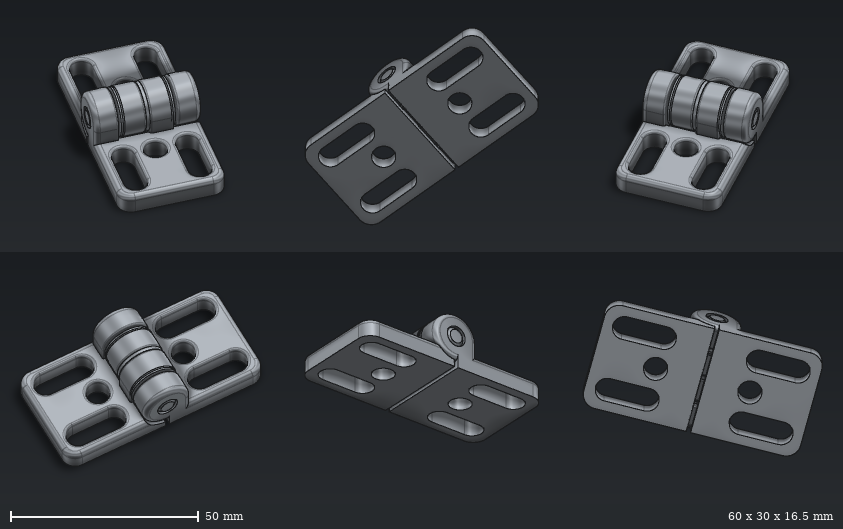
import cadquery as cq

LENGTH = 60.0
WIDTH = 30.0
HEIGHT = 16.5

LEAF_THICKNESS = 5.5
LEAF_CORNER_RADIUS = 4.0
OUTER_ROUND = 1.5
LEAF_GAP = 1.2

HOLE_DIAMETER = 6.4
HOLE_EDGE_ROUND = 0.8
INNER_HOLE_X = 13.0
SLOT_CENTRE_DISTANCE = 11.0
SLOT_Y = 9.0

KNUCKLE_DIAMETER = 14.0
KNUCKLE_RADIUS = KNUCKLE_DIAMETER / 2
AXIS_Z = HEIGHT - KNUCKLE_RADIUS
KNUCKLE_EDGE_ROUND = 0.5
RECESS_DIAMETER = 14.9
OUTER_KNUCKLE_START = 8.3
INNER_KNUCKLE_END = 7.15

WASHER_DIAMETER = 13.7
WASHER_THICKNESS = 1.0
SIDE_WASHER_FACE_Y = 7.55
SIDE_WASHER_SEAT_Y = SIDE_WASHER_FACE_Y - WASHER_THICKNESS
INNER_KNUCKLE_START = WASHER_THICKNESS / 2
PIN_HOLE_DIAMETER = 6.0
PIN_DIAMETER = 5.8
PIN_END_CHAMFER = 0.9


def barrel_cylinder(diameter, y_start, y_end):
    """Cylinder on the hinge axis between two Y positions."""
    plane = cq.Workplane("XZ", origin=(0, y_start, AXIS_Z))
    return plane.circle(diameter / 2).extrude(y_start - y_end)


def leaf_plate():
    """Left plate with rounded outer corners and a rounded top rim."""
    length = (LENGTH - LEAF_GAP) / 2
    plate = (
        cq.Workplane("XY")
        .box(length, WIDTH, LEAF_THICKNESS, centered=(False, True, False))
        .translate((-LENGTH / 2, 0, 0))
    )
    plate = plate.edges("|Z and <X").fillet(LEAF_CORNER_RADIUS)
    return plate.edges(">Z and (not >X)").fillet(OUTER_ROUND)


def cut_mounting_holes(plate):
    """Cut the round hole and the two slots, then round their top edges."""
    slot_centre_x = -INNER_HOLE_X - SLOT_CENTRE_DISTANCE / 2
    slot_length = SLOT_CENTRE_DISTANCE + HOLE_DIAMETER
    tools = (
        cq.Workplane("XY")
        .pushPoints([(slot_centre_x, -SLOT_Y), (slot_centre_x, SLOT_Y)])
        .slot2D(slot_length, HOLE_DIAMETER)
        .extrude(LEAF_THICKNESS)
        .pushPoints([(-INNER_HOLE_X, 0)])
        .circle(HOLE_DIAMETER / 2)
        .extrude(LEAF_THICKNESS)
    )
    pierced = plate.cut(tools)
    hole_rims = pierced.faces(">Z").val().innerWires()
    rim_edges = [edge for rim in hole_rims for edge in rim.Edges()]
    return pierced.newObject(rim_edges).fillet(HOLE_EDGE_ROUND)


def knuckle(y_start, y_end, low_y_round, high_y_round):
    """Barrel section on a straight foot that runs down to the bottom of the left leaf."""
    foot_length = KNUCKLE_RADIUS - LEAF_GAP / 2
    barrel = barrel_cylinder(KNUCKLE_DIAMETER, y_start, y_end)
    barrel = barrel.faces("<Y").edges().fillet(low_y_round)
    barrel = barrel.faces(">Y").edges().fillet(high_y_round)
    foot = (
        cq.Workplane("XY")
        .box(foot_length, y_end - y_start, AXIS_Z, centered=False)
        .translate((-KNUCKLE_RADIUS, y_start, 0))
    )
    foot = foot.edges("|Z and <X and <Y").fillet(low_y_round)
    foot = foot.edges("|Z and <X and >Y").fillet(high_y_round)
    return barrel.union(foot)


def make_left_leaf():
    """Plate with an outer knuckle at +Y, an inner knuckle at -Y, a washer seat and a hole for the pin."""
    leaf = cut_mounting_holes(leaf_plate())
    for y_start, y_end in (
        (-WIDTH / 2, -INNER_KNUCKLE_END),
        (-INNER_KNUCKLE_START, OUTER_KNUCKLE_START),
    ):
        leaf = leaf.cut(barrel_cylinder(RECESS_DIAMETER, y_start, y_end))
    outer = knuckle(OUTER_KNUCKLE_START, WIDTH / 2, KNUCKLE_EDGE_ROUND, OUTER_ROUND)
    inner = knuckle(-INNER_KNUCKLE_END, -INNER_KNUCKLE_START, KNUCKLE_EDGE_ROUND, KNUCKLE_EDGE_ROUND)
    leaf = leaf.union(outer).union(inner)
    leaf = leaf.cut(barrel_cylinder(WASHER_DIAMETER, -SIDE_WASHER_FACE_Y, -SIDE_WASHER_SEAT_Y))
    return leaf.cut(barrel_cylinder(PIN_HOLE_DIAMETER, -WIDTH / 2, WIDTH / 2))


def make_right_leaf():
    """The left leaf turned half a turn about Z."""
    return make_left_leaf().rotate((0, 0, 0), (0, 0, 1), 180)


def make_washer(y_start):
    """Flat ring around the pin."""
    y_end = y_start + WASHER_THICKNESS
    ring = barrel_cylinder(WASHER_DIAMETER, y_start, y_end)
    return ring.cut(barrel_cylinder(PIN_HOLE_DIAMETER, y_start, y_end))


def make_pin():
    """Pin through all the knuckles, with chamfered ends."""
    pin = barrel_cylinder(PIN_DIAMETER, -WIDTH / 2, WIDTH / 2)
    return pin.faces("<Y or >Y").edges().chamfer(PIN_END_CHAMFER)


left_leaf = make_left_leaf()
right_leaf = make_right_leaf()
pin = make_pin()

washer_starts = (-SIDE_WASHER_FACE_Y, -WASHER_THICKNESS / 2, SIDE_WASHER_SEAT_Y)
washers = [make_washer(y_start).val() for y_start in washer_starts]

result = cq.Compound.makeCompound([left_leaf.val(), right_leaf.val(), pin.val(), *washers])